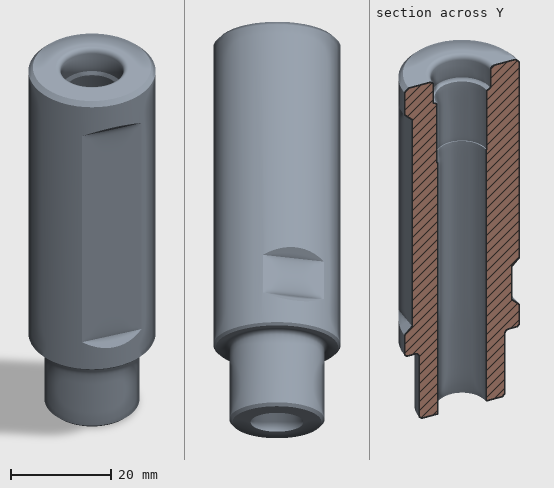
import cadquery as cq
import math

total_height = 81.0

body_diameter = 25.4
body_bottom = 16.0
body_top_chamfer = 0.9
body_bottom_chamfer = 0.5
spigot_diameter = 19.0
spigot_chamfer = 0.6
neck_radius = 0.8

through_diameter = 10.5
upper_bore_diameter = 10.92
upper_bore_depth = 20.0
counterbore_diameter = 12.5
counterbore_depth = 5.25
counterbore_floor_angle = 30.0
mouth_radius = 1.0

flat_distance = 11.0
flat_bottom = 23.0
short_flat_top = 31.0
long_flat_top = 73.0
cutter_overlap = 1.0


def make_shaft():
    """Stepped round shaft with chamfered ends and a rounded neck."""
    spigot = cq.Workplane("XY").circle(spigot_diameter / 2).extrude(body_bottom)
    spigot = spigot.faces("<Z").chamfer(spigot_chamfer)
    body = (
        cq.Workplane("XY")
        .workplane(offset=body_bottom)
        .circle(body_diameter / 2)
        .extrude(total_height - body_bottom)
    )
    body = body.faces(">Z").chamfer(body_top_chamfer)
    body = body.faces("<Z").chamfer(body_bottom_chamfer)
    shaft = spigot.union(body)
    neck_edge = cq.selectors.BoxSelector(
        (-spigot_diameter, -spigot_diameter, body_bottom - neck_radius / 2),
        (spigot_diameter, spigot_diameter, body_bottom + body_bottom_chamfer / 2),
    )
    return shaft.edges(neck_edge).edges(cq.selectors.RadiusNthSelector(0)).fillet(neck_radius)


def cut_bore(shaft):
    """Stepped through bore, widest at the top, with a conical ledge and a rounded mouth."""
    through_radius = through_diameter / 2
    upper_radius = upper_bore_diameter / 2
    counterbore_radius = counterbore_diameter / 2
    step_z = total_height - upper_bore_depth
    ledge_top = total_height - counterbore_depth
    ledge_drop = (counterbore_radius - upper_radius) * math.tan(math.radians(counterbore_floor_angle))
    bore = (
        cq.Workplane("XZ")
        .moveTo(0, 0)
        .lineTo(through_radius, 0)
        .lineTo(through_radius, step_z)
        .lineTo(upper_radius, step_z)
        .lineTo(upper_radius, ledge_top - ledge_drop)
        .lineTo(counterbore_radius, ledge_top)
        .lineTo(counterbore_radius, total_height)
        .lineTo(0, total_height)
        .close()
        .revolve(360, (0, 0), (0, 1))
    )
    bored = shaft.cut(bore)
    return bored.faces(">Z").edges(cq.selectors.RadiusNthSelector(0)).fillet(mouth_radius)


def flat_cutter(side, flat_top):
    """Trapezoidal bar that mills a flat on the +X (side=1) or -X (side=-1) face."""
    outer_distance = body_diameter / 2 + cutter_overlap
    ramp = outer_distance - flat_distance
    return (
        cq.Workplane("XZ")
        .moveTo(side * flat_distance, flat_bottom)
        .lineTo(side * flat_distance, flat_top)
        .lineTo(side * outer_distance, flat_top + ramp)
        .lineTo(side * outer_distance, flat_bottom - ramp)
        .close()
        .extrude(body_diameter / 2, both=True)
    )


result = cut_bore(make_shaft())
result = result.cut(flat_cutter(1, long_flat_top))
result = result.cut(flat_cutter(-1, short_flat_top))